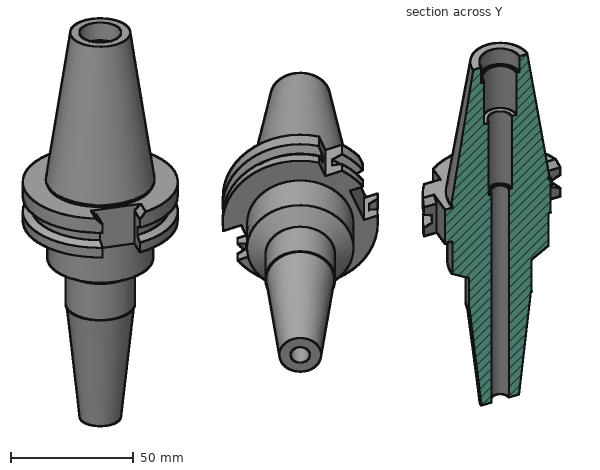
import cadquery as cq

total_height = 178.4
gauge_height = 110.0
flange_top = 109.0
flange_bottom = 91.0
groove_top = 102.4
groove_bottom = 95.5
groove_flank_height = 1.6
body_bottom = 73.9
neck_top = 69.2
neck_bottom = 52.3

taper_small_radius = 12.3
taper_large_radius = 22.3
body_radius = 21.8
flange_radius = 31.8
groove_radius = 28.2
neck_radius = 14.3
nose_top_radius = 14.0
nose_tip_radius = 8.5

through_bore_radius = 4.0
bore_steps = [(8.5, 8.2), (7.3, 30.3), (5.2, 68.3)]

slot_width = 15.9
slot_chamfer = 2.7
left_slot_floor = 25.0
right_slot_floor = 22.8
notch_inner_x = 18.4
notch_inner_y = 18.5


def holder_body():
    """Revolve the taper, grooved flange, body, neck and conical nose."""
    profile = [
        (0, 0),
        (nose_tip_radius, 0),
        (nose_top_radius, neck_bottom),
        (neck_radius, neck_bottom),
        (neck_radius, neck_top),
        (body_radius, body_bottom),
        (body_radius, flange_bottom),
        (flange_radius, flange_bottom),
        (flange_radius, groove_bottom),
        (groove_radius, groove_bottom + groove_flank_height),
        (groove_radius, groove_top - groove_flank_height),
        (flange_radius, groove_top),
        (flange_radius, flange_top),
        (body_radius, flange_top),
        (body_radius, gauge_height),
        (taper_large_radius, gauge_height),
        (taper_small_radius, total_height),
        (0, total_height),
    ]
    return cq.Workplane("XZ").polyline(profile).close().revolve(360, (0, 0, 0), (0, 1, 0))


def bore():
    """Through hole with wider steps sunk from the taper end."""
    cutter = cq.Workplane("XY").circle(through_bore_radius).extrude(total_height)
    for radius, depth in bore_steps:
        step = cq.Workplane("XY").workplane(offset=total_height).circle(radius).extrude(-depth)
        cutter = cutter.union(step)
    return cutter


def drive_slot(side, floor_distance):
    """Slot through the flange, chamfered at its top; side is -1 or 1 along X."""
    half_width = slot_width / 2
    outline = [
        (-half_width, flange_bottom),
        (half_width, flange_bottom),
        (half_width, flange_top - slot_chamfer),
        (half_width + slot_chamfer, flange_top),
        (-half_width - slot_chamfer, flange_top),
        (-half_width, flange_top - slot_chamfer),
    ]
    return (
        cq.Workplane("YZ")
        .workplane(offset=side * floor_distance)
        .polyline(outline)
        .close()
        .extrude(side * (flange_radius - floor_distance))
    )


def orientation_notch():
    """Square corner cut through the flange on its -X, +Y side."""
    return (
        cq.Workplane("XY")
        .workplane(offset=flange_bottom)
        .moveTo(-notch_inner_x, notch_inner_y)
        .rect(-flange_radius, flange_radius, centered=False)
        .extrude(flange_top - flange_bottom)
    )


result = (
    holder_body()
    .cut(bore())
    .cut(drive_slot(-1, left_slot_floor))
    .cut(drive_slot(1, right_slot_floor))
    .cut(orientation_notch())
)